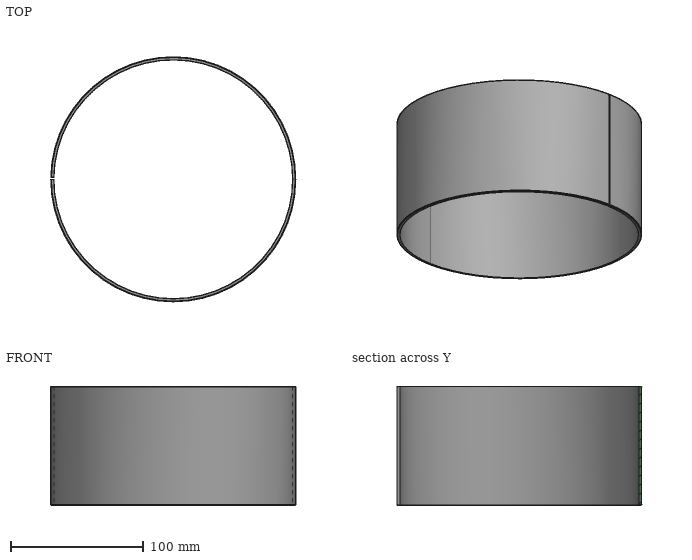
import cadquery as cq

outer_diameter = 185.0
height = 90.0
wall = 2.4
slit_width = 1.5
edge_chamfer = 0.5

outer_radius = outer_diameter / 2
mid_radius = outer_radius - wall / 2

drum = (
    cq.Workplane("XY")
    .circle(outer_radius)
    .extrude(height)
    .faces("<Z or >Z")
    .edges()
    .chamfer(edge_chamfer)
)

bore = cq.Workplane("XY").circle(outer_radius - wall).extrude(height)

slit = (
    cq.Workplane("XY")
    .center(-mid_radius, slit_width / 2)
    .rect(2 * wall, slit_width)
    .extrude(height)
)

result = drum.cut(bore).cut(slit)